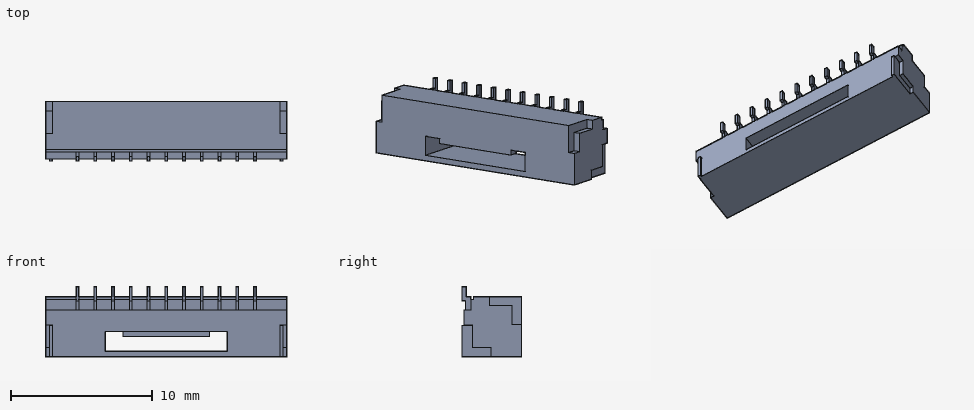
import cadquery as cq

length = 17.0
overall_depth = 4.2
overall_height = 4.95

body_depth = 4.06
body_height = 4.25
ledge_height = 3.32
upper_wall_depth = 3.57
rim_depth = 3.4
rim_height = 4.05

pin_count = 11
pin_pitch = 1.25
pin_width = 0.2
pin_foot_front = 3.96
pin_stem_back = 3.9
pin_stem_bottom = 3.95

back_notch_width = 0.48
back_notch_floor = 3.62
back_notch_length = 2.25
back_notch_leg_depth = 0.66
back_notch_bottom = 2.3

tab_recess_width = 0.48
tab_thickness = 0.2
tab_leg_back = 3.47
tab_foot_back = 2.15
tab_foot_height = 0.66
tab_recess_height = 2.25
tab_height = 2.21

window_length = 8.57
window_bottom = 0.4
window_top = 1.78
lip_length = 6.1
lip_bottom = 1.43
lip_depth = 0.68


def side_prism(points, x_start, width):
    """Extrude an outline given as (distance forward of the back face, height) along +X."""
    outline = [(-forward, height) for forward, height in points]
    return cq.Workplane("YZ").workplane(offset=x_start).polyline(outline).close().extrude(width)


def both_ends(shape):
    """Join a shape with its mirror image at the opposite end of the connector."""
    return shape.union(shape.mirror("YZ"))


def housing():
    return side_prism(
        [
            (0, 0),
            (body_depth, 0),
            (body_depth, ledge_height),
            (upper_wall_depth, ledge_height),
            (upper_wall_depth, rim_height),
            (rim_depth, rim_height),
            (rim_depth, body_height),
            (0, body_height),
        ],
        -length / 2,
        length,
    )


def back_notches():
    notch = side_prism(
        [
            (0, back_notch_bottom),
            (back_notch_leg_depth, back_notch_bottom),
            (back_notch_leg_depth, back_notch_floor),
            (back_notch_length, back_notch_floor),
            (back_notch_length, body_height),
            (0, body_height),
        ],
        -length / 2,
        back_notch_width,
    )
    return both_ends(notch)


def tab_shapes(front, height, x_start, width):
    """L-shaped plates at both ends, with an upright front leg and a foot running backward."""
    plate = side_prism(
        [
            (tab_foot_back, 0),
            (front, 0),
            (front, height),
            (tab_leg_back, height),
            (tab_leg_back, tab_foot_height),
            (tab_foot_back, tab_foot_height),
        ],
        x_start,
        width,
    )
    return both_ends(plate)


def window():
    opening = cq.Workplane("XY").box(
        window_length, body_depth, window_top - window_bottom, centered=(True, False, False)
    ).translate((0, -body_depth, window_bottom))
    lip = cq.Workplane("XY").box(
        lip_length, lip_depth, window_top - lip_bottom, centered=(True, False, False)
    ).translate((0, -lip_depth, lip_bottom))
    return opening.cut(lip)


def pin(x_center):
    return side_prism(
        [
            (upper_wall_depth, ledge_height),
            (pin_foot_front, ledge_height),
            (pin_foot_front, pin_stem_bottom),
            (overall_depth, pin_stem_bottom),
            (overall_depth, overall_height),
            (pin_stem_back, overall_height),
            (pin_stem_back, body_height),
            (upper_wall_depth, body_height),
        ],
        x_center - pin_width / 2,
        pin_width,
    )


tab_recesses = tab_shapes(body_depth, tab_recess_height, -length / 2, tab_recess_width)
tab_start = -length / 2 + tab_recess_width - tab_thickness
solder_tabs = tab_shapes(overall_depth, tab_height, tab_start, tab_thickness)

result = housing().cut(back_notches()).cut(tab_recesses).cut(window()).union(solder_tabs)
for index in range(pin_count):
    result = result.union(pin((index - (pin_count - 1) / 2) * pin_pitch))